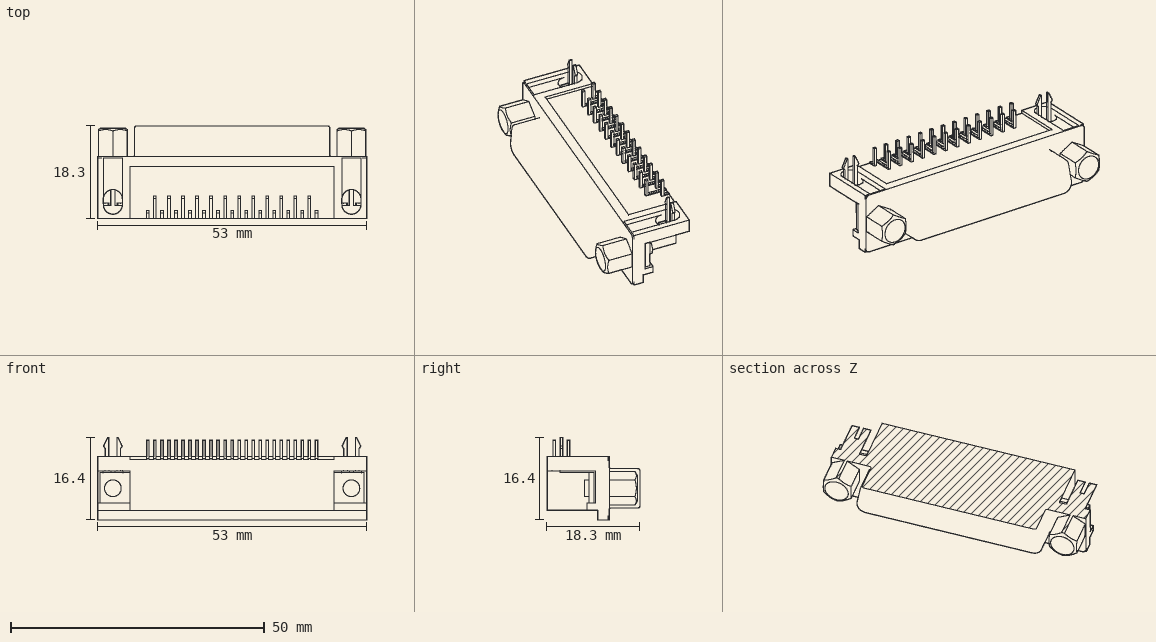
import cadquery as cq
import math


length = 53.05
half_length = length / 2
height = 12.55
mid_z = height / 2
flange_face_y = 12.25
sheet_thickness = 0.3
sheet_back_y = flange_face_y - sheet_thickness
sheet_corner_radius = 0.8
flange_back_y = 9.9
block_half_width = 20.1
block_bottom_z = 1.9
wing_bottom_z = 9.7
pocket_floor_y = 9.55
ledge_back_y = 7.8
ledge_top_z = 3.35

recess_front_y = 10.25
recess_floor_z = 11.95

mount_x = 23.5
channel_width = 3.7
channel_depth = 1.05
hole_back_y = 0.9
hole_front_y = 5.75

clip_thickness = 0.3
clip_width = 4.0
clip_back_y = 2.55
clip_slot_width = 0.8
prong_inner = 0.8
prong_outer = 1.55
prong_barb = 1.85
prong_tip = 1.0
prong_depth = 0.55
barb_root_z = 14.1
barb_z = 14.6
part_top_z = 16.35

nut_outer_x = 26.0
nut_thickness = 0.95
screw_radius = 1.65
screw_length = 0.95
hex_across_flats = 5.75
hex_front_y = 17.8
hex_end_radius = 2.45
hex_corner_setback = 0.55

shell_front_y = 18.3
shell_height = 7.8
shell_half_width = 19.25
shell_corner_radius = 1.95
shell_side_angle = 10.0
shell_front_round = 0.5
shell_base_flare = 0.25

pin_count = 25
pin_row_length = 33.2
pin_pitch = pin_row_length / (pin_count - 1)
pin_size = 0.55
pin_bottom_z = 11.6
pin_top_z = 15.75
near_row_y = 1.65
far_row_y = 4.45


def box(x0, x1, y0, y1, z0, z1):
    """Box between two corners."""
    return cq.Workplane("XY").box(x1 - x0, y1 - y0, z1 - z0, centered=False).translate((x0, y0, z0))


def facing_front(y):
    """Workplane at depth y, with local X along X, local Y along Z, centred on the connector axis."""
    return cq.Workplane("XZ", origin=(0, y, mid_z))


def make_housing():
    """Flange, pin block and wings, with open pockets under the wings and a recess on top."""
    flange = box(-half_length, half_length, flange_back_y, sheet_back_y, 0, height)
    block = box(-block_half_width, block_half_width, 0, flange_back_y, block_bottom_z, height)
    wings = box(-half_length, half_length, 0, flange_back_y, wing_bottom_z, height)
    pocket_floor = box(-half_length, half_length, pocket_floor_y, flange_back_y, block_bottom_z, height)
    ledges = box(-half_length, half_length, ledge_back_y, flange_back_y, block_bottom_z, ledge_top_z)
    housing = flange.union(block).union(wings).union(pocket_floor).union(ledges)
    recess = box(-block_half_width, block_half_width, 0, recess_front_y, recess_floor_z, height)
    return housing.cut(recess)


def make_sheet():
    """Metal sheet covering the front of the flange."""
    sheet = box(-half_length, half_length, sheet_back_y, flange_face_y, 0, height)
    return sheet.edges("|Y").fillet(sheet_corner_radius)


def make_mount_cut(x):
    """Shallow channel along a wing, ending in a through slot with round ends."""
    hole_mid_y = (hole_back_y + hole_front_y) / 2
    hole = (
        cq.Workplane("XY", origin=(x, hole_mid_y, wing_bottom_z))
        .slot2D(hole_front_y - hole_back_y, channel_width, 90)
        .extrude(height - wing_bottom_z)
    )
    half = channel_width / 2
    channel = box(x - half, x + half, hole_mid_y, sheet_back_y, height - channel_depth, height)
    return hole.union(channel)


def make_clip(x):
    """Bent strip: a leg on the pocket floor, a forked arm under the wing and two barbed prongs."""
    half = clip_width / 2
    arm_bottom_z = wing_bottom_z - clip_thickness
    arm = box(x - half, x + half, clip_back_y, pocket_floor_y, arm_bottom_z, wing_bottom_z)
    slot_half = clip_slot_width / 2
    arm = arm.cut(box(x - slot_half, x + slot_half, clip_back_y, hole_front_y, arm_bottom_z, wing_bottom_z))
    leg = box(x - half, x + half, pocket_floor_y - clip_thickness, pocket_floor_y, ledge_top_z, wing_bottom_z)
    clip = arm.union(leg)
    for side in (-1, 1):
        outline = [
            (prong_inner, arm_bottom_z),
            (prong_outer, arm_bottom_z),
            (prong_outer, barb_root_z),
            (prong_barb, barb_z),
            (prong_tip, part_top_z),
            (prong_inner, part_top_z),
        ]
        prong = (
            cq.Workplane("XZ", origin=(x, clip_back_y, 0))
            .polyline([(side * offset, z) for offset, z in outline])
            .close()
            .extrude(-prong_depth)
        )
        clip = clip.union(prong)
    return clip


def make_nut(side):
    """Square nut filling the pocket, with the end of the jackscrew standing out of it."""
    front_y = pocket_floor_y - clip_thickness
    back_y = front_y - nut_thickness
    x0, x1 = sorted((side * block_half_width, side * nut_outer_x))
    nut = box(x0, x1, back_y, front_y, ledge_top_z, wing_bottom_z - clip_thickness)
    screw_end = facing_front(back_y).center(side * mount_x, 0).circle(screw_radius).extrude(screw_length)
    return nut.union(screw_end)


def make_jackscrew_head(x):
    """Hexagon with a vertex on top, its free end turned down to a cone."""
    corner_radius = hex_across_flats / math.sqrt(3)
    head_length = hex_front_y - flange_face_y
    head = (
        facing_front(flange_face_y)
        .center(x, 0)
        .polygon(6, 2 * corner_radius)
        .extrude(-head_length)
        .rotate((x, 0, mid_z), (x, 1, mid_z), 90)
    )
    envelope = (
        cq.Workplane("XY", origin=(x, 0, mid_z))
        .moveTo(0, flange_face_y)
        .lineTo(corner_radius, flange_face_y)
        .lineTo(corner_radius, hex_front_y - hex_corner_setback)
        .lineTo(hex_end_radius, hex_front_y)
        .lineTo(0, hex_front_y)
        .close()
        .revolve(360, (0, 0, 0), (0, 1, 0))
    )
    return head.intersect(envelope)


def make_shell():
    """D-shaped shell, wider at the bottom, with a flared base and a rounded front edge."""
    angle = math.radians(shell_side_angle)
    straight = shell_height - 2 * shell_corner_radius
    low_centre_x = shell_half_width - shell_corner_radius
    high_centre_x = low_centre_x - straight * math.tan(angle)
    low_x = low_centre_x + shell_corner_radius * (1 + math.sin(angle)) / math.cos(angle)
    high_x = high_centre_x + shell_corner_radius * (1 - math.sin(angle)) / math.cos(angle)
    half = shell_height / 2
    shell = (
        facing_front(flange_face_y)
        .polyline([(-low_x, -half), (low_x, -half), (high_x, half), (-high_x, half)])
        .close()
        .extrude(-(shell_front_y - flange_face_y))
        .edges("|Y")
        .fillet(shell_corner_radius)
    )
    return shell.faces(">Y").edges().fillet(shell_front_round)


def make_front():
    """Sheet and shell joined by a concave round."""
    front = make_sheet().union(make_shell())
    inset = sheet_corner_radius
    shell_base = cq.selectors.BoxSelector(
        (inset - half_length, flange_face_y - sheet_thickness / 2, inset),
        (half_length - inset, flange_face_y + sheet_thickness / 2, height - inset),
    )
    return front.edges(shell_base).fillet(shell_base_flare)


def make_pin(index):
    """Square pin running forward from the rear face and bending upward."""
    x = index * pin_pitch - pin_row_length / 2
    front_y = far_row_y if index % 2 else near_row_y
    left, right = x - pin_size / 2, x + pin_size / 2
    tail = box(left, right, 0, front_y, pin_bottom_z, pin_bottom_z + pin_size)
    post = box(left, right, front_y - pin_size, front_y, pin_bottom_z, pin_top_z)
    return tail.union(post)


front = make_front()
result = make_housing()
for side in (-1, 1):
    front = front.union(make_jackscrew_head(side * mount_x))
    result = result.cut(make_mount_cut(side * mount_x))
    result = result.union(make_clip(side * mount_x))
    result = result.union(make_nut(side))

result = result.union(front, clean=False)
for index in range(pin_count):
    result = result.union(make_pin(index), clean=False)